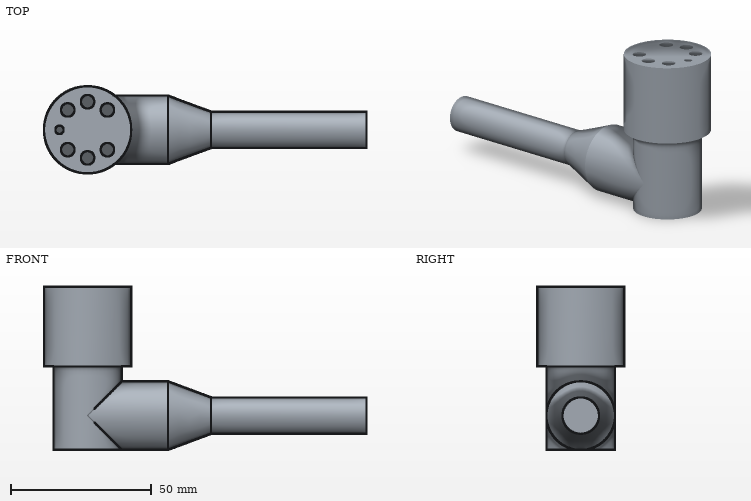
import cadquery as cq
import math

total_length = 114.6
total_height = 58.0

head_diameter = 31.0
head_height = 28.3
body_diameter = 24.4

outlet_end = 28.5
cone_end = 43.9
cable_diameter = 13.0
cable_end = total_length - head_diameter / 2
outlet_axis_height = body_diameter / 2

hole_circle_radius = 10.0
contact_diameter = 4.8
contact_angles = [45, 90, 135, 225, 270, 315]
key_diameter = 3.0
key_angles = [180]
hole_depth = 11.5


def make_upright():
    """Body standing on Z = 0 with the wider head on top."""
    body_height = total_height - head_height
    body = cq.Workplane("XY").circle(body_diameter / 2).extrude(body_height)
    head = (
        cq.Workplane("XY")
        .workplane(offset=body_height)
        .circle(head_diameter / 2)
        .extrude(head_height)
    )
    return body.union(head)


def make_outlet():
    """Outlet, cone and cable revolved about their common horizontal axis."""
    return (
        cq.Workplane("XZ", origin=(0, 0, outlet_axis_height))
        .moveTo(0, 0)
        .lineTo(0, body_diameter / 2)
        .lineTo(outlet_end, body_diameter / 2)
        .lineTo(cone_end, cable_diameter / 2)
        .lineTo(cable_end, cable_diameter / 2)
        .lineTo(cable_end, 0)
        .close()
        .revolve(360, (0, 0, 0), (1, 0, 0))
    )


def make_face_holes(diameter, angles):
    """Blind holes in the head's top face, at the given angles from +X."""
    centres = []
    for angle in angles:
        turn = math.radians(angle)
        centres.append((hole_circle_radius * math.cos(turn), hole_circle_radius * math.sin(turn)))
    return (
        cq.Workplane("XY")
        .workplane(offset=total_height - hole_depth)
        .pushPoints(centres)
        .circle(diameter / 2)
        .extrude(hole_depth)
    )


result = (
    make_upright()
    .union(make_outlet())
    .cut(make_face_holes(contact_diameter, contact_angles))
    .cut(make_face_holes(key_diameter, key_angles))
)